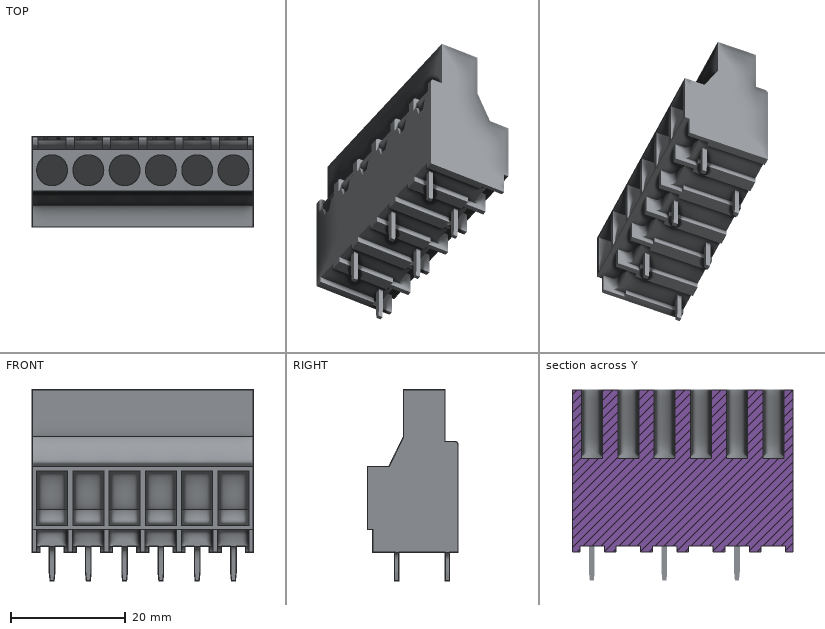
import cadquery as cq


poles = 6
pitch = 6.35
length = 38.7
pole_xs = [(i - (poles - 1) / 2) * pitch for i in range(poles)]

depth = 15.85
foot_depth = 14.95
foot_height = 4.0
shelf_height = 15.05
shoulder_depth = 12.1
shoulder_height = 20.25
neck_front = 9.55
neck_back = 2.25
back_height = 19.45
height = 28.5
back_edge_radius = 0.6

screw_hole_diameter = 5.4
screw_hole_depth = 12.0
screw_hole_y = -(neck_front + neck_back) / 2

entry_width = 5.4
entry_bottom = 4.75
entry_top = 14.25
entry_floor_depth = 2.5
entry_ramp_depth = 2.6
entry_ramp_height = 2.8

hollow_width = 5.5
hollow_depth = 2.55
hollow_corner_radius = 0.95
floor_height = 1.05
rib_depth = 4.0
foot_gap = 4.2

recess_width = 4.9
recess_depth = 1.0
slot_depth = 0.65
slot_drop = 2.0
notch_top_width = 3.0
notch_bottom_width = 1.5
notch_drop = 2.0

pin_width = 1.0
pin_thickness = 0.8
pin_tip_width = 0.7
pin_tip_length = 1.5
pin_reach = 5.0
pin_back_y = -1.85
pin_front_y = -10.75


def box(width, y_front, y_back, z_bottom, z_top, x=0.0):
    """Block centred on x between the given depths and heights."""
    return (
        cq.Workplane("XY")
        .box(width, y_back - y_front, z_top - z_bottom, centered=(True, False, False))
        .translate((x, y_front, z_bottom))
    )


def housing_blank():
    """Side profile extruded along the whole row."""
    profile = [
        (0, 0),
        (0, back_height),
        (-neck_back, back_height),
        (-neck_back, height),
        (-neck_front, height),
        (-neck_front, shoulder_height),
        (-shoulder_depth, shelf_height),
        (-depth, shelf_height),
        (-depth, foot_height),
        (-foot_depth, foot_height),
        (-foot_depth, 0),
    ]
    blank = cq.Workplane("YZ").polyline(profile).close().extrude(length / 2, both=True)
    back_edge = cq.selectors.NearestToPointSelector((0, 0, back_height))
    return blank.edges(back_edge).fillet(back_edge_radius)


def screw_hole(x):
    return (
        cq.Workplane("XY", origin=(x, screw_hole_y, height))
        .circle(screw_hole_diameter / 2)
        .extrude(-screw_hole_depth)
    )


def wire_entry(x):
    """Front pocket with a level floor that ramps up to the back wall."""
    floor_end = -depth + entry_floor_depth
    back_wall = floor_end + entry_ramp_depth
    outline = [
        (-depth, entry_bottom),
        (floor_end, entry_bottom),
        (back_wall, entry_bottom + entry_ramp_height),
        (back_wall, entry_top),
        (-depth, entry_top),
    ]
    pocket = cq.Workplane("YZ").polyline(outline).close().extrude(entry_width / 2, both=True)
    return pocket.translate((x, 0, 0))


def underside_hollow(x):
    """Round-cornered front hollow, with the space below the floor left open to the back."""
    front = box(hollow_width, -foot_depth, -foot_depth + hollow_depth, 0, foot_height, x)
    front = front.edges("|Z and >Y").fillet(hollow_corner_radius)
    between_ribs = box(hollow_width, -foot_depth, -foot_depth + rib_depth, 0, floor_height, x)
    between_feet = box(foot_gap, -foot_depth, 0, 0, floor_height, x)
    return front.union(between_ribs).union(between_feet)


def back_recess(x):
    """Recess in the back edge, stepping down to a slot and a tapered notch."""
    recess_floor = back_height - recess_depth
    slot_floor = recess_floor - slot_drop
    notch_floor = slot_floor - notch_drop
    recess = box(recess_width, -neck_back, 0, recess_floor, back_height, x)
    slot = box(recess_width, -slot_depth, 0, slot_floor, recess_floor, x)
    notch_outline = [
        (x - notch_top_width / 2, slot_floor),
        (x + notch_top_width / 2, slot_floor),
        (x + notch_bottom_width / 2, notch_floor),
        (x - notch_bottom_width / 2, notch_floor),
    ]
    notch = cq.Workplane("XZ").polyline(notch_outline).close().extrude(slot_depth)
    return recess.union(slot).union(notch)


def solder_pin(x, y):
    """Flat pin hanging from the housing floor, with a tip tapered in X."""
    tip_start = -pin_reach + pin_tip_length
    outline = [
        (x - pin_width / 2, floor_height),
        (x - pin_width / 2, tip_start),
        (x - pin_tip_width / 2, -pin_reach),
        (x + pin_tip_width / 2, -pin_reach),
        (x + pin_width / 2, tip_start),
        (x + pin_width / 2, floor_height),
    ]
    pin = cq.Workplane("XZ").polyline(outline).close().extrude(pin_thickness / 2, both=True)
    return pin.translate((0, y, 0))


housing = housing_blank()
for pole_x in pole_xs:
    for pocket in (screw_hole, wire_entry, underside_hollow, back_recess):
        housing = housing.cut(pocket(pole_x))

pins = []
for i, pole_x in enumerate(pole_xs):
    pin_y = pin_back_y if i % 2 == 0 else pin_front_y
    pins.append(solder_pin(pole_x, pin_y))

result = cq.Compound.makeCompound([housing.solids().val(), *[pin.solids().val() for pin in pins]])